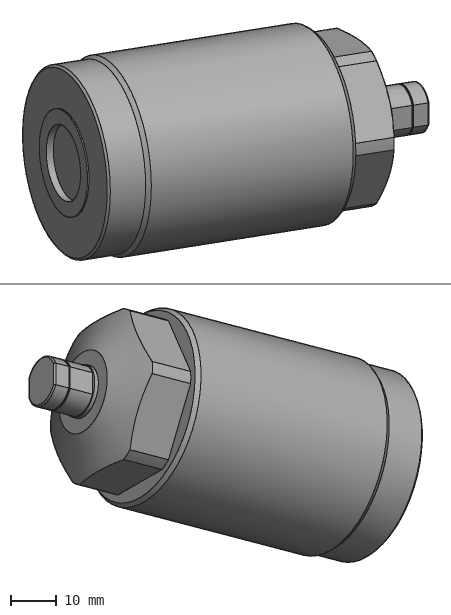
import cadquery as cq
import math


housing_radius = 22.49
nose_radius = 21.75
nose_front_radius = 21.2
ring_radius = 12.1
recess_radius = 8.6
recess_depth = 1.7
ring_height = 0.35
nose_chamfer_length = 0.5
nose_end = 9.5
shoulder_chamfer_length = 1.05
housing_end = 60.9
back_chamfer_length = 1.05
back_chamfer_width = 0.8

nut_half_flats = 18.0
nut_corner_radius = 20.0
nut_end = 75.95
cone_length = 4.9
cone_end_radius = 9.5

overall_length = 87.0
collar_radius = 6.0
collar_length = 1.0
stem_radius = 5.7
stem_half_flats = 5.1
groove_position = 82.8
groove_width = 0.3
groove_depth = 0.2
stem_chamfer = 0.35


def revolve_profile(points):
    """Revolve a closed (radius, Y) outline about the Y axis."""
    return cq.Workplane("XY").polyline(points).close().revolve(360, (0, 0, 0), (0, 1, 0))


def cylinder_along_y(radius, start, length):
    """Solid cylinder running in +Y from the given start."""
    return cq.Workplane(cq.Solid.makeCylinder(radius, length, cq.Vector(0, start, 0), cq.Vector(0, 1, 0)))


def make_housing():
    return revolve_profile([
        (0, recess_depth),
        (recess_radius, recess_depth),
        (recess_radius, 0),
        (ring_radius, 0),
        (ring_radius, ring_height),
        (nose_front_radius, ring_height),
        (nose_radius, ring_height + nose_chamfer_length),
        (nose_radius, nose_end),
        (housing_radius, nose_end + shoulder_chamfer_length),
        (housing_radius, housing_end - back_chamfer_length),
        (housing_radius - back_chamfer_width, housing_end),
        (0, housing_end),
    ])


def make_nut():
    hexagon = (
        cq.Workplane("XZ", origin=(0, housing_end, 0))
        .polygon(6, 2 * nut_half_flats / math.cos(math.pi / 6))
        .extrude(housing_end - nut_end)
    )
    turned_blank = revolve_profile([
        (0, housing_end),
        (nut_corner_radius, housing_end),
        (nut_corner_radius, nut_end - cone_length),
        (cone_end_radius, nut_end),
        (0, nut_end),
    ])
    return hexagon.intersect(turned_blank)


def flatted_shaft(inset, start, length):
    """Stem section with two side flats, its outline moved inward by the inset."""
    radius = stem_radius - inset
    flats = cq.Workplane("XY").box(
        2 * (stem_half_flats - inset), length, 2 * radius, centered=(True, False, True)
    )
    return cylinder_along_y(radius, start, length).intersect(flats.translate((0, start, 0)))


def make_stem():
    shaft_start = nut_end + collar_length
    collar = cylinder_along_y(collar_radius, nut_end, collar_length)
    shaft = flatted_shaft(0, shaft_start, overall_length - shaft_start).faces(">Y").chamfer(stem_chamfer)
    groove = (
        cylinder_along_y(collar_radius, groove_position, groove_width)
        .cut(flatted_shaft(groove_depth, groove_position, groove_width))
    )
    return collar.union(shaft).cut(groove)


housing = make_housing()
nut = make_nut()
stem = make_stem()
result = cq.Compound.makeCompound([housing.val(), nut.val(), stem.val()])